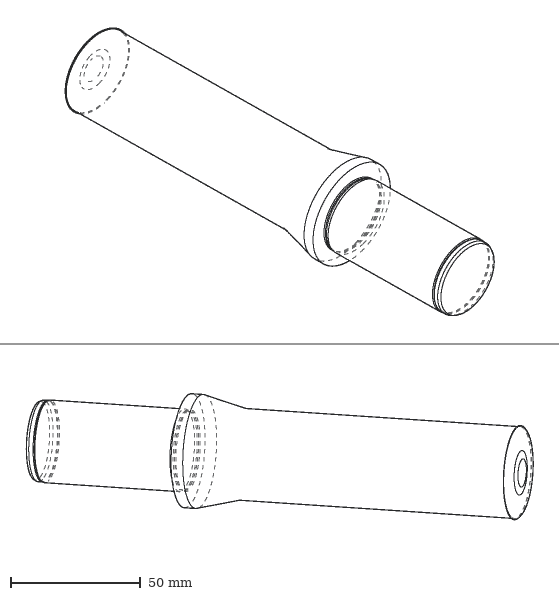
import cadquery as cq


tip_length = 2.0
cutting_diameter = 36.5
shoulder_diameter = 32.4
shoulder_depth = 0.5
outer_ridge_diameter = 24.2
valley_diameter = 17.2
inner_ridge_diameter = 11.0
valley_depth = 0.5
centre_depth = 1.0

body_diameter = 35.5
cone_start = 112.3
cone_blend_end = 113.5
cone_blend_rise = 0.2

collar_diameter = 44.0
cone_end = 129.3
collar_start = 129.9
collar_end = 134.5
collar_bevel = 0.2

total_length = 195.0
shank_diameter = 32.0
neck_diameter = 31.2
neck_start = 135.1
neck_end = 135.7
shank_start = 136.9
shank_end = 191.3
pilot_diameter = 31.5
relief_start = 191.7
pilot_start = 192.0
end_chamfer_length = 1.2
end_chamfer_height = 0.5


def revolve_about_x(outline):
    """Turn a closed (x, radius) outline around the X axis."""
    return outline.close().revolve(360, (0, 0, 0), (1, 0, 0))


def make_cutting_tip():
    """Thin disc with a ring-shaped ridge and a dished centre on its front face."""
    outline = (
        cq.Workplane("XY")
        .moveTo(tip_length, 0)
        .lineTo(centre_depth, 0)
        .lineTo(0, inner_ridge_diameter / 2)
        .lineTo(valley_depth, valley_diameter / 2)
        .lineTo(0, outer_ridge_diameter / 2)
        .lineTo(shoulder_depth, shoulder_diameter / 2)
        .tangentArcPoint((tip_length, cutting_diameter / 2), relative=False)
    )
    return revolve_about_x(outline)


def make_drill_body():
    """Long body, conical collar and stepped shank in one turned piece."""
    outline = (
        cq.Workplane("XY")
        .moveTo(tip_length, 0)
        .lineTo(tip_length, body_diameter / 2)
        .lineTo(cone_start, body_diameter / 2)
        .tangentArcPoint((cone_blend_end, body_diameter / 2 + cone_blend_rise), relative=False)
        .lineTo(cone_end, collar_diameter / 2 - collar_bevel)
        .lineTo(collar_start, collar_diameter / 2)
        .lineTo(collar_end, collar_diameter / 2)
        .lineTo(collar_end, pilot_diameter / 2)
        .lineTo(neck_start, neck_diameter / 2)
        .lineTo(neck_end, neck_diameter / 2)
        .lineTo(shank_start, shank_diameter / 2)
        .lineTo(shank_end, shank_diameter / 2)
        .lineTo(relief_start, neck_diameter / 2)
        .lineTo(pilot_start, pilot_diameter / 2)
        .lineTo(total_length - end_chamfer_length, pilot_diameter / 2)
        .lineTo(total_length, pilot_diameter / 2 - end_chamfer_height)
        .lineTo(total_length, 0)
    )
    return revolve_about_x(outline)


cutting_tip = make_cutting_tip()
drill_body = make_drill_body()

result = cq.Compound.makeCompound([cutting_tip.val(), drill_body.val()])